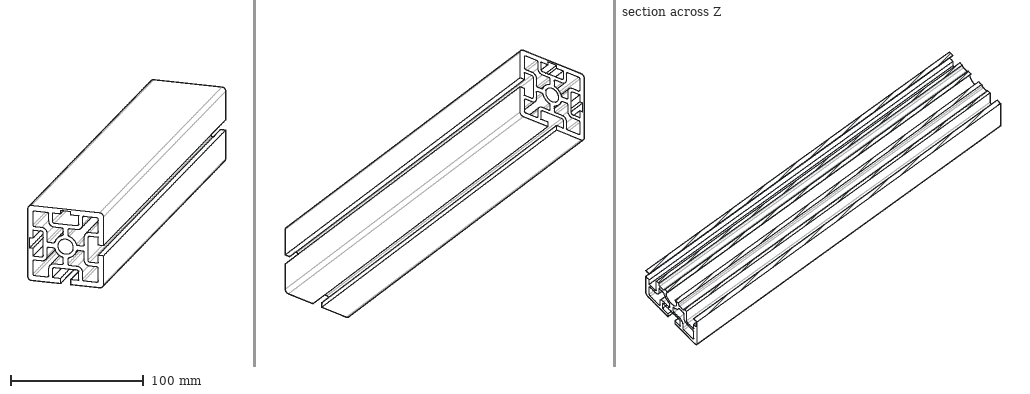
import cadquery as cq

length = 300.0
side = 60.0
outer_corner_radius = 3.0
wall = 4.2

channel_width = 20.7
channel_floor = 17.7
channel_floor_radius = 1.5
channel_wall = 3.0
housing_radius = 4.2
mouth_width = 8.0
closed_skin = 1.5

tube_outer_radius = 9.0
tube_bore_radius = 6.0
rib_thickness = 4.0

cavity_radius = 1.2

half_side = side / 2
inner_face = half_side - wall
housing_half_width = channel_width / 2 + channel_wall
housing_base = channel_floor - channel_wall

TOP, RIGHT, BOTTOM, LEFT = 0, 90, 180, 270
all_sides = (TOP, RIGHT, BOTTOM, LEFT)
open_sides = (RIGHT, BOTTOM)


def bar(x_min, x_max, z_min, z_max):
    """Full-length bar along Y between two X positions and two heights."""
    block = cq.Workplane("XY").box(x_max - x_min, length, z_max - z_min)
    return block.translate(((x_min + x_max) / 2, 0, (z_min + z_max) / 2))


def cylinder(radius):
    return cq.Workplane("XZ").circle(radius).extrude(length / 2, both=True)


def outer_block():
    block = bar(-half_side, half_side, -half_side, half_side)
    return block.edges("|Y").fillet(outer_corner_radius)


def corner_cavity():
    """Hollow in the +X +Z quadrant, bounded by two channels, two ribs and the tube."""
    rib_face = rib_thickness / 2
    cavity = bar(rib_face, inner_face, rib_face, inner_face)
    cavity = cavity.cut(bar(0, housing_half_width, housing_base, half_side))
    cavity = cavity.cut(bar(housing_base, half_side, 0, housing_half_width))
    cavity = cavity.cut(cylinder(tube_outer_radius))

    near = (housing_half_width + rib_face) / 2
    far = (housing_base + inner_face) / 2
    housing_corners = cq.selectors.BoxSelector((near, -wall, near), (far, wall, far))
    lengthwise = cq.selectors.ParallelDirSelector(cq.Vector(0, 1, 0))
    cavity = cavity.edges(lengthwise - housing_corners).fillet(cavity_radius)
    return cavity.edges(housing_corners).fillet(housing_radius)


def channel_space(is_open):
    """Hollow of a channel on the +Z side; a closed one keeps a thin skin over its mouth."""
    mouth_top = half_side if is_open else half_side - closed_skin
    channel = bar(-channel_width / 2, channel_width / 2, channel_floor, inner_face)
    channel = channel.edges("|Y and <Z").fillet(channel_floor_radius)
    return channel.union(bar(-mouth_width / 2, mouth_width / 2, channel_floor, mouth_top))


result = outer_block().cut(cylinder(tube_bore_radius))
for angle in all_sides:
    for hollow in (corner_cavity(), channel_space(angle in open_sides)):
        result = result.cut(hollow.rotate((0, 0, 0), (0, 1, 0), angle))